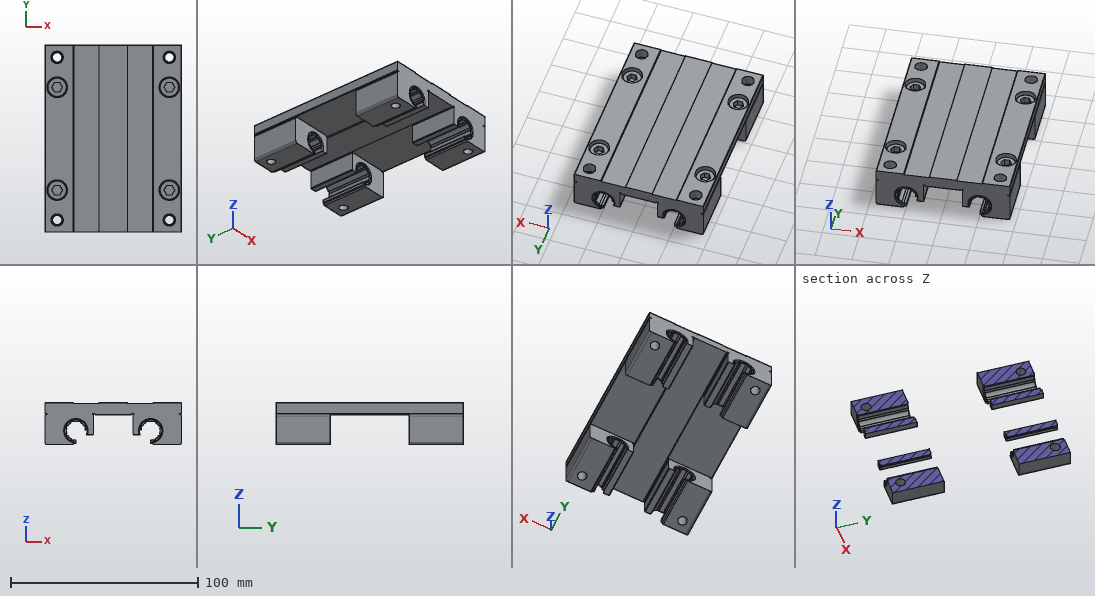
import cadquery as cq
import math

PLATE_WIDTH = 73.0
PLATE_LENGTH = 100.0
TOTAL_HEIGHT = 22.5
PLATE_THICKNESS = 6.0
PLATE_BOTTOM = TOTAL_HEIGHT - PLATE_THICKNESS
PLATE_CHAMFER = 0.3
PAD_WIDTH = 19.0
PAD_HEIGHT = 0.5
RECESS_DEPTH = 0.4
RECESS_INNER_X = 7.5
RECESS_OUTER_X = 21.5

BLOCK_LENGTH = 29.0
BLOCK_INNER_X = 10.5
LIP_BOTTOM = 5.3
LIP_OUTER_X = 14.3
LIP_CHAMFER = 0.4
SIDE_FILLET = 1.25
FOOT_TIP_HEIGHT = 0.75

BORE_X = 20.0
BORE_Z = 7.5
BORE_RADIUS = 6.0
MOUTH_CHAMFER = 0.5
LINER_RADIUS = 5.0
LINER_RECESS = 0.5
LINER_END_RISE = 0.3
HOOK_WIDTH = 1.0
GROOVE_WIDTH = 1.2
GROOVE_DEPTH = 0.4
GROOVE_COUNT = 6
GROOVE_PITCH_ANGLE = 45.0
GROOVE_FIRST_ANGLE = 23.0

FASTENER_X = 30.0
HOLE_Y = 43.5
PLATE_HOLE_DIAMETER = 6.6
BLOCK_HOLE_DIAMETER = 5.0
COUNTERSINK_DIAMETER = 6.0
SCREW_Y = 27.5
COUNTERBORE_DIAMETER = 11.0
COUNTERBORE_DEPTH = 5.0
HEAD_DIAMETER = 10.0
HEAD_FILLET = 0.25
HEAD_DROP = 2.0
SOCKET_WIDTH = 5.0
SOCKET_DEPTH = 3.5

HALF_WIDTH = PLATE_WIDTH / 2
HALF_LENGTH = PLATE_LENGTH / 2
BLOCK_FRONT = -HALF_LENGTH
BLOCK_BACK = BLOCK_FRONT + BLOCK_LENGTH
SIDES = (-1, 1)


def prism(section, y_start, y_end):
    """Extrude a closed XZ wire section along +Y between two Y positions."""
    return section.extrude(y_start - y_end).translate((0, y_start, 0))


def mirrored_corners(x, y):
    return [(side_x * x, side_y * y) for side_x in SIDES for side_y in SIDES]


def make_plate():
    """Plate with chamfered long edges, a slope-sided pad below and two shallow recesses on top."""
    middle_z = PLATE_BOTTOM + PLATE_THICKNESS / 2
    section = cq.Workplane("XZ").center(0, middle_z).rect(PLATE_WIDTH, PLATE_THICKNESS)
    plate = prism(section, -HALF_LENGTH, HALF_LENGTH).edges("|Y").chamfer(PLATE_CHAMFER)
    pad_section = cq.Workplane("XZ").polyline([
        (-PAD_WIDTH / 2 - PAD_HEIGHT, PLATE_BOTTOM),
        (-PAD_WIDTH / 2, PLATE_BOTTOM - PAD_HEIGHT),
        (PAD_WIDTH / 2, PLATE_BOTTOM - PAD_HEIGHT),
        (PAD_WIDTH / 2 + PAD_HEIGHT, PLATE_BOTTOM),
    ]).close()
    plate = plate.union(prism(pad_section, -HALF_LENGTH, HALF_LENGTH))
    for side in SIDES:
        recess = cq.Workplane("XZ").polyline([
            (side * RECESS_INNER_X, TOTAL_HEIGHT),
            (side * RECESS_INNER_X, TOTAL_HEIGHT - RECESS_DEPTH),
            (side * (RECESS_OUTER_X - RECESS_DEPTH), TOTAL_HEIGHT - RECESS_DEPTH),
            (side * RECESS_OUTER_X, TOTAL_HEIGHT),
        ]).close()
        plate = plate.cut(prism(recess, -HALF_LENGTH, HALF_LENGTH))
    return plate


def bore_cylinder(radius, y_start, y_end):
    return prism(cq.Workplane("XZ").center(-BORE_X, BORE_Z).circle(radius), y_start, y_end)


def make_housing():
    """Metal body of the block at -X, -Y, with a rail bore that is open toward the inside and below."""
    foot_end = -BORE_X - HOOK_WIDTH
    section = cq.Workplane("XZ").polyline([
        (-HALF_WIDTH, PLATE_BOTTOM),
        (-HALF_WIDTH, 0),
        (foot_end - FOOT_TIP_HEIGHT, 0),
        (foot_end, FOOT_TIP_HEIGHT),
        (foot_end, BORE_Z),
        (-LIP_OUTER_X, BORE_Z),
        (-LIP_OUTER_X, LIP_BOTTOM),
        (-BLOCK_INNER_X - LIP_CHAMFER, LIP_BOTTOM),
        (-BLOCK_INNER_X, LIP_BOTTOM + LIP_CHAMFER),
        (-BLOCK_INNER_X, PLATE_BOTTOM - LIP_CHAMFER),
        (-BLOCK_INNER_X - LIP_CHAMFER, PLATE_BOTTOM),
    ]).close()
    housing = prism(section, BLOCK_FRONT, BLOCK_BACK).edges("|Y and <X").fillet(SIDE_FILLET)
    bore = bore_cylinder(BORE_RADIUS, BLOCK_FRONT, BLOCK_BACK)
    for mouth_y, inward in ((BLOCK_FRONT, 1), (BLOCK_BACK, -1)):
        mouth = cq.Solid.makeCone(
            BORE_RADIUS + MOUTH_CHAMFER, BORE_RADIUS, MOUTH_CHAMFER,
            pnt=cq.Vector(-BORE_X, mouth_y, BORE_Z), dir=cq.Vector(0, inward, 0),
        )
        housing = housing.cut(cq.Workplane(mouth))
    return housing.cut(bore)


def make_liner():
    """Three-quarter bushing in the bore, with lengthwise grooves and a hook over the foot of the housing."""
    front = BLOCK_FRONT + LINER_RECESS
    back = BLOCK_BACK - LINER_RECESS
    length = back - front
    liner = bore_cylinder(BORE_RADIUS, front, back)
    opening = cq.Workplane("XY").box(BORE_RADIUS, length, BORE_RADIUS + LINER_END_RISE, centered=False)
    liner = liner.cut(opening.translate((-BORE_X, front, BORE_Z - BORE_RADIUS)))
    hook_height = BORE_Z - FOOT_TIP_HEIGHT
    hook = cq.Workplane("XY").box(HOOK_WIDTH, length, hook_height, centered=False)
    liner = liner.union(hook.translate((-BORE_X - HOOK_WIDTH, front, FOOT_TIP_HEIGHT)))
    liner = liner.cut(bore_cylinder(LINER_RADIUS, front, back))
    groove_reach = LINER_RADIUS + GROOVE_DEPTH
    for index in range(GROOVE_COUNT):
        angle = GROOVE_FIRST_ANGLE + index * GROOVE_PITCH_ANGLE
        groove = cq.Workplane("XY").box(groove_reach, length, GROOVE_WIDTH, centered=(False, False, True))
        groove = groove.rotate((0, 0, 0), (0, 1, 0), -angle)
        liner = liner.cut(groove.translate((-BORE_X, front, BORE_Z)))
    return liner


def make_blocks():
    """Four identical bearing blocks, mirrored to the corners of the plate."""
    front_left = make_housing().union(make_liner())
    front_pair = front_left.union(front_left.mirror("YZ"))
    return front_pair.union(front_pair.mirror("XZ"))


def vertical_cylinders(positions, diameter, bottom, top):
    base = cq.Workplane("XY").workplane(offset=bottom).pushPoints(positions)
    return base.circle(diameter / 2).extrude(top - bottom)


def cut_mounting_holes(body):
    """Clearance holes through the plate that continue as narrower, countersunk holes through the blocks."""
    positions = mirrored_corners(FASTENER_X, HOLE_Y)
    body = body.cut(vertical_cylinders(positions, PLATE_HOLE_DIAMETER, PLATE_BOTTOM, TOTAL_HEIGHT))
    body = body.cut(vertical_cylinders(positions, BLOCK_HOLE_DIAMETER, 0, PLATE_BOTTOM))
    countersink_depth = (COUNTERSINK_DIAMETER - BLOCK_HOLE_DIAMETER) / 2
    for x, y in positions:
        countersink = cq.Solid.makeCone(
            COUNTERSINK_DIAMETER / 2, BLOCK_HOLE_DIAMETER / 2, countersink_depth,
            pnt=cq.Vector(x, y, PLATE_BOTTOM), dir=cq.Vector(0, 0, -1),
        )
        body = body.cut(cq.Workplane(countersink))
    return body


def add_screws(body):
    """Socket head screws seated in counterbores, fused to the plate at the seat."""
    positions = mirrored_corners(FASTENER_X, SCREW_Y)
    seat = TOTAL_HEIGHT - COUNTERBORE_DEPTH
    head_top = TOTAL_HEIGHT - HEAD_DROP
    body = body.cut(vertical_cylinders(positions, COUNTERBORE_DIAMETER, seat, TOTAL_HEIGHT))
    heads = vertical_cylinders(positions, HEAD_DIAMETER, seat, head_top)
    heads = heads.faces(">Z").edges().fillet(HEAD_FILLET)
    socket_corner_diameter = SOCKET_WIDTH / math.cos(math.pi / 6)
    sockets = (
        cq.Workplane("XY").workplane(offset=head_top - SOCKET_DEPTH).pushPoints(positions)
        .polygon(6, socket_corner_diameter).extrude(SOCKET_DEPTH)
    )
    return body.union(heads).cut(sockets)


result = add_screws(cut_mounting_holes(make_plate().union(make_blocks())))